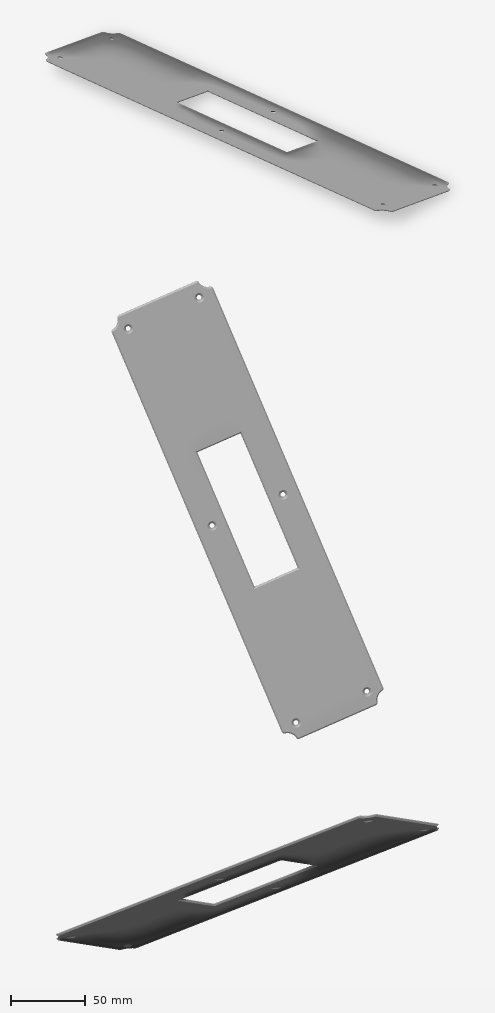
import cadquery as cq

length = 314.9
width = 74.29
thickness = 1.5
tilt_angle = 8.0

notch_radius = 7.5
notch_tip_radius = 1.6

window_length = 100.0
window_width = 31.7

hole_columns = 3
hole_rows = 2
hole_diameter = 3.2
countersink_diameter = 6.4
countersink_angle = 100.0
hole_pitch_x = 146.4
hole_pitch_y = 52.0

underside_chamfer = 1.0


def make_notched_plate():
    """Sheet with a quarter circle scooped out of each corner and the notch tips rounded."""
    blank = cq.Workplane("XY").box(length, width, thickness)
    notches = (
        cq.Workplane("XY")
        .rect(length, width, forConstruction=True)
        .vertices()
        .circle(notch_radius)
        .extrude(thickness, both=True)
    )
    return blank.cut(notches).edges("|Z").fillet(notch_tip_radius)


def cut_window(plate):
    """Cut the central rectangular window through the sheet."""
    window = cq.Workplane("XY").box(window_length, window_width, 2 * thickness)
    return plate.cut(window)


def bevel_underside(plate):
    """Chamfer the outline and the window on the lower face."""
    return plate.faces("<Z").edges().chamfer(underside_chamfer)


def drill_mounting_holes(plate):
    """Drill the 3 x 2 grid of through holes, countersunk from the underside."""
    return (
        plate.faces("<Z")
        .workplane(origin=(0, 0, 0))
        .rarray(hole_pitch_x, hole_pitch_y, hole_columns, hole_rows)
        .cskHole(hole_diameter, countersink_diameter, countersink_angle)
    )


flat_plate = make_notched_plate()
flat_plate = cut_window(flat_plate)
flat_plate = bevel_underside(flat_plate)
flat_plate = drill_mounting_holes(flat_plate)
result = flat_plate.rotate((0, 0, 0), (1, 0, 0), -tilt_angle)